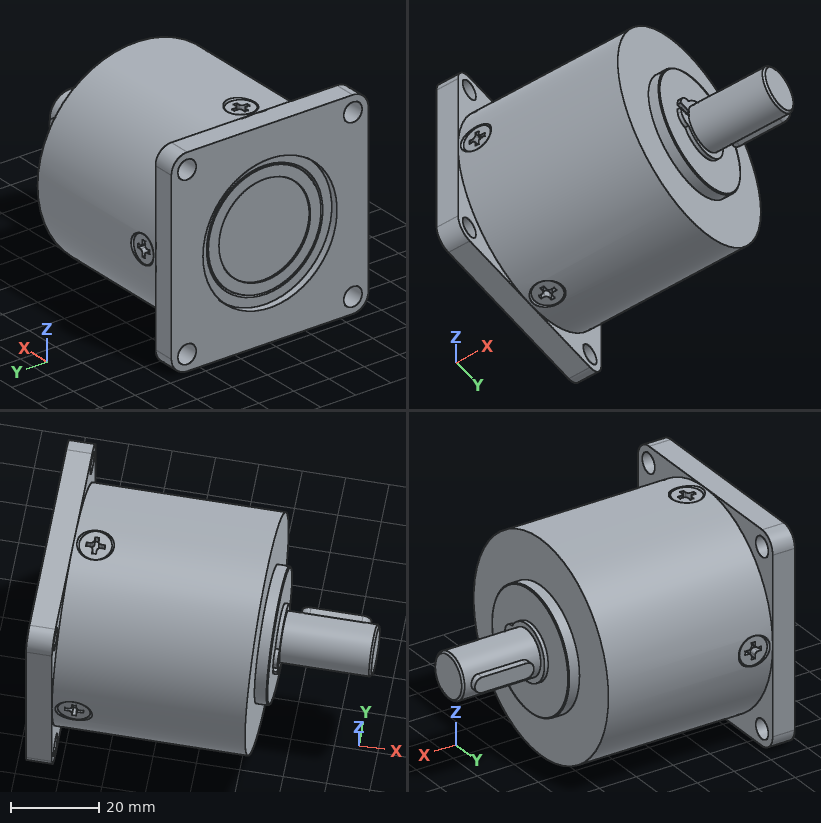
import cadquery as cq
import math

OVERALL_LENGTH = 75.6
BODY_DIAMETER = 56.0

PLATE_THICKNESS = 6.0
PLATE_CORNER_RADIUS = 4.5
MOUNT_HOLE_DIAMETER = 5.2
MOUNT_HOLE_SPACING = 47.14

RECESS_DIAMETER = 38.1
RECESS_DEPTH = 2.0
BEARING_DIAMETER = 32.0
BEARING_GAP = 0.5
CENTER_STEP_DIAMETER = 26.0
CENTER_STEP_DEPTH = 0.5

BODY_FRONT_X = 50.5
PILOT_DIAMETER = 32.0
PILOT_LENGTH = 3.0
PILOT_CHAMFER = 0.25
PILOT_FRONT_X = BODY_FRONT_X + PILOT_LENGTH

SHAFT_DIAMETER = 12.0
SHAFT_CHAMFER = 0.5
KEY_WIDTH = 4.0
KEY_LENGTH = 16.0
KEY_START_X = 57.3
KEY_TOP_Y = 7.5

RING_DIAMETER = 14.75
RING_OFFSET_Y = 0.2
RING_THICKNESS = 1.0
RING_GROOVE_DIAMETER = 11.5
EAR_OUTER_RADIUS = 9.0
EAR_ROUND_RADIUS = 2.8
EAR_ROUND_ANGLE = math.radians(12.8)
RING_GAP = 1.66

SCREW_X = PLATE_THICKNESS + 5.0
SCREW_COUNT = 4
SCREW_HEAD_DIAMETER = 7.5
SCREW_HEAD_DEPTH = 0.4
SCREW_RIM_DIAMETER = 8.5
CROSS_LENGTH = 4.3
CROSS_ARM_WIDTH = 0.95
CROSS_FILLET_RADIUS = 0.85
CROSS_DEPTH = 2.0


def cylinder_x(diameter, start_x, end_x):
    """Cylinder on the X axis between two X positions."""
    return cq.Workplane("YZ", origin=(start_x, 0, 0)).circle(diameter / 2).extrude(end_x - start_x)


def make_plate():
    plate = cq.Workplane("YZ").rect(BODY_DIAMETER, BODY_DIAMETER).extrude(PLATE_THICKNESS)
    plate = plate.edges("|X").fillet(PLATE_CORNER_RADIUS)
    holes = (
        cq.Workplane("YZ")
        .rect(MOUNT_HOLE_SPACING, MOUNT_HOLE_SPACING, forConstruction=True)
        .vertices()
        .circle(MOUNT_HOLE_DIAMETER / 2)
        .extrude(PLATE_THICKNESS)
    )
    return plate.cut(holes)


def make_rear_recess():
    """Void at the rear face, revolved from a stepped half profile."""
    groove_depth = RECESS_DEPTH + BEARING_GAP
    step_depth = RECESS_DEPTH + CENTER_STEP_DEPTH
    bearing_radius = BEARING_DIAMETER / 2
    return (
        cq.Workplane("XY")
        .moveTo(0, 0)
        .lineTo(0, RECESS_DIAMETER / 2)
        .lineTo(RECESS_DEPTH, RECESS_DIAMETER / 2)
        .lineTo(RECESS_DEPTH, bearing_radius + BEARING_GAP)
        .lineTo(groove_depth, bearing_radius)
        .lineTo(RECESS_DEPTH, bearing_radius)
        .lineTo(RECESS_DEPTH, CENTER_STEP_DIAMETER / 2)
        .lineTo(step_depth, CENTER_STEP_DIAMETER / 2)
        .lineTo(step_depth, 0)
        .close()
        .revolve(360, (0, 0, 0), (1, 0, 0))
    )


def make_pilot():
    pilot = cylinder_x(PILOT_DIAMETER, BODY_FRONT_X, PILOT_FRONT_X)
    return pilot.faces(">X").chamfer(PILOT_CHAMFER)


def make_shaft():
    shaft = cylinder_x(SHAFT_DIAMETER, PILOT_FRONT_X, OVERALL_LENGTH)
    shaft = shaft.faces(">X").chamfer(SHAFT_CHAMFER)
    ring_front_x = PILOT_FRONT_X + RING_THICKNESS
    groove = cylinder_x(SHAFT_DIAMETER, PILOT_FRONT_X, ring_front_x)
    groove = groove.cut(cylinder_x(RING_GROOVE_DIAMETER, PILOT_FRONT_X, ring_front_x))
    return shaft.cut(groove)


def make_key():
    """Round-ended key lying along X, rising from the shaft axis to its top face."""
    return (
        cq.Workplane("XZ", origin=(KEY_START_X + KEY_LENGTH / 2, 0, 0))
        .slot2D(KEY_LENGTH, KEY_WIDTH)
        .extrude(-KEY_TOP_Y)
    )


def make_retaining_ring():
    workplane = cq.Workplane("YZ", origin=(PILOT_FRONT_X, 0, 0))
    ring = workplane.center(RING_OFFSET_Y, 0).circle(RING_DIAMETER / 2).extrude(RING_THICKNESS)

    round_center_distance = EAR_OUTER_RADIUS - EAR_ROUND_RADIUS
    round_center_y = -round_center_distance * math.cos(EAR_ROUND_ANGLE)
    round_center_z = round_center_distance * math.sin(EAR_ROUND_ANGLE)
    side_z = round_center_z + EAR_ROUND_RADIUS
    tangent_y = -EAR_OUTER_RADIUS * math.cos(EAR_ROUND_ANGLE)
    tangent_z = EAR_OUTER_RADIUS * math.sin(EAR_ROUND_ANGLE)
    round_middle_angle = (EAR_ROUND_ANGLE + math.pi / 2) / 2
    middle_y = round_center_y - EAR_ROUND_RADIUS * math.cos(round_middle_angle)
    middle_z = round_center_z + EAR_ROUND_RADIUS * math.sin(round_middle_angle)
    ears = (
        workplane.moveTo(0, side_z)
        .lineTo(round_center_y, side_z)
        .threePointArc((middle_y, middle_z), (tangent_y, tangent_z))
        .threePointArc((-EAR_OUTER_RADIUS, 0), (tangent_y, -tangent_z))
        .threePointArc((middle_y, -middle_z), (round_center_y, -side_z))
        .lineTo(0, -side_z)
        .close()
        .extrude(RING_THICKNESS)
    )
    gap = workplane.center(-EAR_OUTER_RADIUS / 2, 0).rect(EAR_OUTER_RADIUS, RING_GAP).extrude(RING_THICKNESS)
    return ring.union(ears).cut(gap)


def make_screw_pocket():
    """Void above the screw on the +Z side: countersink rim and cross recess in the head."""
    body_radius = BODY_DIAMETER / 2
    head_z = body_radius - SCREW_HEAD_DEPTH
    head_radius = SCREW_HEAD_DIAMETER / 2
    rim_radius = SCREW_RIM_DIAMETER / 2
    countersink = cq.Workplane(
        cq.Solid.makeCone(head_radius, rim_radius, SCREW_HEAD_DEPTH, cq.Vector(SCREW_X, 0, head_z))
    )
    head_plane = cq.Workplane("XY", origin=(SCREW_X, 0, head_z))
    cross = head_plane.rect(CROSS_LENGTH, CROSS_ARM_WIDTH).extrude(-CROSS_DEPTH)
    cross = cross.union(head_plane.rect(CROSS_ARM_WIDTH, CROSS_LENGTH).extrude(-CROSS_DEPTH))
    inner_corners = cq.selectors.BoxSelector(
        (SCREW_X - CROSS_ARM_WIDTH, -CROSS_ARM_WIDTH, head_z - CROSS_DEPTH),
        (SCREW_X + CROSS_ARM_WIDTH, CROSS_ARM_WIDTH, head_z),
    )
    cross = cross.edges("|Z").edges(inner_corners).fillet(CROSS_FILLET_RADIUS)
    return countersink.union(cross)


result = make_plate()
result = result.union(cylinder_x(BODY_DIAMETER, 0, BODY_FRONT_X))
result = result.cut(make_rear_recess())
result = result.union(make_pilot())
result = result.union(make_shaft())
result = result.union(make_key())
result = result.union(make_retaining_ring())

screw_pocket = make_screw_pocket()
for index in range(SCREW_COUNT):
    angle = index * 360 / SCREW_COUNT
    result = result.cut(screw_pocket.rotate((0, 0, 0), (1, 0, 0), angle))